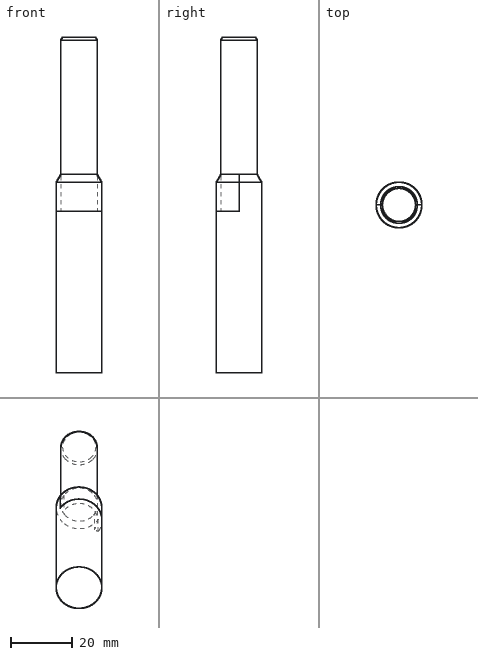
import cadquery as cq
import math

total_length = 110.0
handle_radius = 7.5
handle_length = 65.0
pin_radius = 6.0
tip_chamfer_length = 1.0
half_sleeve_length = 12.0
taper_angle = 30.0

taper_slope = math.tan(math.radians(taper_angle))
shoulder_length = (handle_radius - pin_radius) / taper_slope
tip_radius = pin_radius - tip_chamfer_length * taper_slope
half_sleeve_bottom = handle_length - half_sleeve_length


def make_tapered_rod(bottom, radius, end_radius, top, taper_length):
    """Rod along Z whose upper end narrows from radius to end_radius over taper_length."""
    return (
        cq.Workplane("XZ")
        .moveTo(0, bottom)
        .lineTo(radius, bottom)
        .lineTo(radius, top - taper_length)
        .lineTo(end_radius, top)
        .lineTo(0, top)
        .close()
        .revolve(360, (0, 0, 0), (0, 1, 0))
    )


def make_pin():
    """Slim rod along the full length, chamfered at its tip."""
    return make_tapered_rod(0, pin_radius, tip_radius, total_length, tip_chamfer_length)


def make_handle():
    """Thick rod with a conical shoulder that narrows to the pin."""
    return make_tapered_rod(0, handle_radius, pin_radius, handle_length, shoulder_length)


def make_half_sleeve():
    """Half-round sleeve on the -Y side of the handle, wrapped around the pin."""
    front_half = (
        cq.Workplane("XY", origin=(0, 0, half_sleeve_bottom))
        .rect(2 * handle_radius, 2 * handle_radius)
        .extrude(half_sleeve_length)
        .translate((0, -handle_radius, 0))
    )
    return make_handle().intersect(front_half).cut(make_pin())


def make_shaft(half_sleeve):
    """Handle and pin in one piece, with a recess that fits the half sleeve."""
    return make_handle().union(make_pin()).cut(half_sleeve)


half_sleeve = make_half_sleeve()
shaft = make_shaft(half_sleeve)

result = cq.Compound.makeCompound([shaft.val(), half_sleeve.val()])